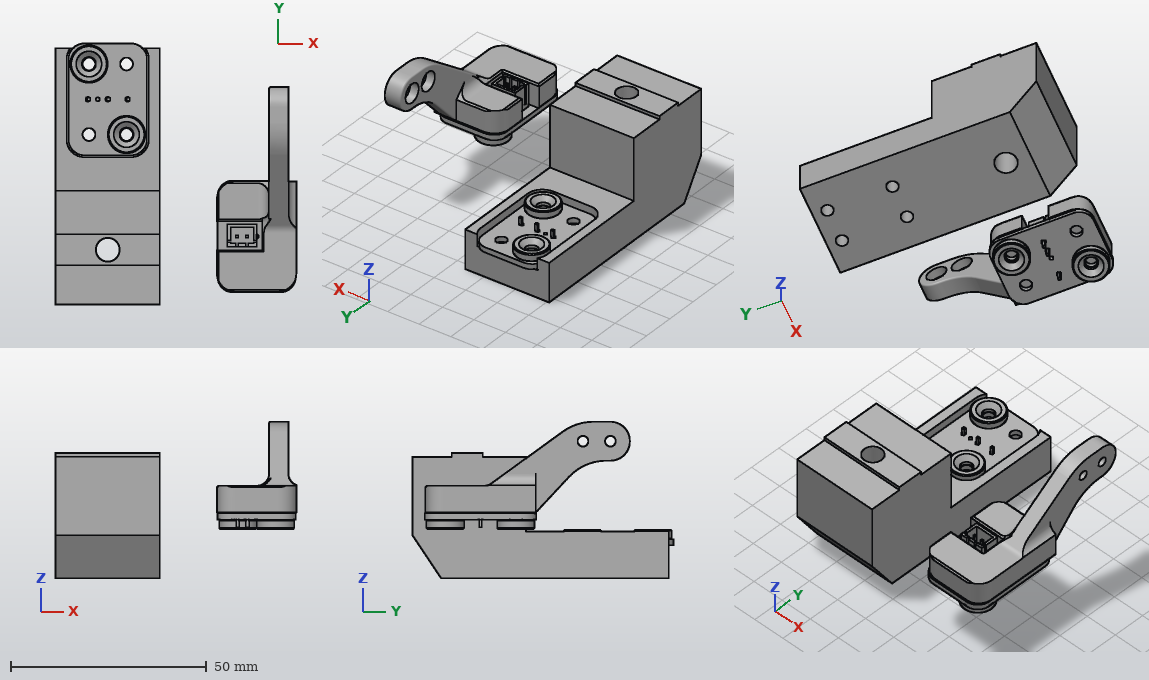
import cadquery as cq
import math

block_width = 26.7
block_length = 65.5
shelf_height = 12.0
head_height = 31.0
head_length = 29.0
rail_height = 1.0
rail_front = 10.0
rail_width = 8.0
rail_hole_diameter = 6.0
slope_length = 7.35
slope_height = 11.0

total_length = 66.7
board_width = 20.0
board_length = 28.55
board_thickness = 1.6
board_corner_radius = 4.0
screw_hole_diameter = 3.2
screw_pitch_x = 9.6
screw_pitch_y = 18.0
pin_pitch = 2.55
pin_steps = (-2, -1, 0, 2)
lower_empty_step = -1
upper_empty_step = 0
pin_width = 0.8
pin_depth = 0.7
pin_length = 2.0
pin_well_diameter = 1.2
pin_well_depth = 0.55
pin_offset = (pin_well_diameter - pin_width) / 2
pin_hole_diameter = 1.0

magnet_diameter = 9.6
magnet_height = 2.4
magnet_chamfer = 0.3
magnet_hole_diameter = 3.6
magnet_sink_diameter = 6.55

lower_board_center = (block_width / 2, total_length - board_length / 2)
lower_board_bottom = 8.4
upper_board_center = (51.4, 17.4)
upper_board_bottom = 15.0
pocket_clearance = 0.5

housing_width = 20.35
housing_length = 28.15
housing_height = 7.1
housing_corner_radius = 4.7
edge_chamfer = 0.5
bottom_chamfer = 0.3
housing_bottom = upper_board_bottom + board_thickness
housing_top = housing_bottom + housing_height
housing_left = upper_board_center[0] - housing_width / 2
housing_right = upper_board_center[0] + housing_width / 2
housing_rear = upper_board_center[1] + housing_length / 2

arm_left = 54.5
arm_thickness = 5.0
arm_right = arm_left + arm_thickness
arm_edge_fillet = 0.5
arm_top = 40.05
arm_end_radius = 5.0
arm_bottom = arm_top - 2 * arm_end_radius
arm_hole_y = 50.6
arm_hole_z = arm_top - arm_end_radius
arm_hole_spacing = 7.0
arm_hole_diameter = 2.7
arm_bore_diameter = 5.7
arm_bore_depth = 2.7
upper_bend_y = 46.25
upper_bend_radius = 13.35
ramp_angle = math.radians(36)
lower_bend_y = 49.5
lower_bend_radius = 13.0
underside_angle = math.radians(47)
foot_radius = 3.0

connector_width = 7.5
connector_depth = 5.75
connector_height = 7.0
connector_center = (47.65, 17.7)
connector_wall = 0.8
connector_floor = 1.35
side_slot_width = 0.55
contact_pitch = 2.55
contact_size = 0.64
contact_height = 6.35
contact_slot_width = 0.6
recess_right = 52.8
recess_front = 13.95
recess_rear = 21.3


def upper_bend_end():
    """Point (y, z) where the rounded top of the arm runs into the ramp."""
    return (
        upper_bend_y - upper_bend_radius * math.sin(ramp_angle),
        arm_top - upper_bend_radius * (1 - math.cos(ramp_angle)),
    )


def ramp_foot_y():
    """Y where the straight ramp reaches the top of the housing."""
    bend_y, bend_z = upper_bend_end()
    return bend_y - (bend_z - housing_top) / math.tan(ramp_angle)


def screw_points(center):
    """The four screw positions of a board: the two under magnets, then the two open ones."""
    x, y = center
    dx = screw_pitch_x / 2
    dy = screw_pitch_y / 2
    return [(x - dx, y + dy), (x + dx, y - dy)], [(x + dx, y + dy), (x - dx, y - dy)]


def make_block():
    """Stepped block with a rail hole, a board pocket and four screw holes."""
    side = (
        cq.Workplane("YZ")
        .moveTo(slope_length, 0)
        .lineTo(block_length, 0)
        .lineTo(block_length, shelf_height)
        .lineTo(head_length, shelf_height)
        .lineTo(head_length, head_height)
        .lineTo(rail_front + rail_width, head_height)
        .lineTo(rail_front + rail_width, head_height + rail_height)
        .lineTo(rail_front, head_height + rail_height)
        .lineTo(rail_front, head_height)
        .lineTo(0, head_height)
        .lineTo(0, slope_height)
        .close()
        .extrude(block_width)
    )
    rail_hole = (
        cq.Workplane("XY")
        .center(block_width / 2, rail_front + rail_width / 2)
        .circle(rail_hole_diameter / 2)
        .extrude(head_height + rail_height)
    )
    pocket = (
        cq.Workplane("XY", origin=(*lower_board_center, lower_board_bottom))
        .rect(board_width + 2 * pocket_clearance, board_length + 2 * pocket_clearance)
        .extrude(shelf_height)
        .edges("|Z")
        .fillet(board_corner_radius + pocket_clearance)
    )
    covered, uncovered = screw_points(lower_board_center)
    screw_holes = (
        cq.Workplane("XY")
        .pushPoints(covered + uncovered)
        .circle(screw_hole_diameter / 2)
        .extrude(shelf_height)
    )
    return side.cut(rail_hole).cut(pocket).cut(screw_holes)


def make_board(center, bottom, faces_up, empty_step):
    """Board with three pins on its contact face and one empty pin hole."""
    x, y = center
    covered, uncovered = screw_points(center)
    board = (
        cq.Workplane("XY", origin=(x, y, bottom))
        .rect(board_width, board_length)
        .extrude(board_thickness)
        .edges("|Z")
        .fillet(board_corner_radius)
    )
    holes = (
        cq.Workplane("XY", origin=(0, 0, bottom))
        .pushPoints(covered + uncovered)
        .circle(screw_hole_diameter / 2)
        .pushPoints([(x + empty_step * pin_pitch, y)])
        .circle(pin_hole_diameter / 2)
        .extrude(board_thickness)
    )
    board = board.cut(holes)
    contact_face = bottom + board_thickness if faces_up else bottom
    direction = 1 if faces_up else -1
    well_floor = contact_face - direction * pin_well_depth
    pin_reach = pin_well_depth + pin_length
    for step in pin_steps:
        if step != empty_step:
            foot = cq.Workplane("XY", origin=(x + step * pin_pitch, y, well_floor))
            well = foot.circle(pin_well_diameter / 2).extrude(direction * pin_well_depth)
            pin = foot.center(pin_offset, 0).rect(pin_width, pin_depth).extrude(direction * pin_reach)
            board = board.cut(well).union(pin)
    return board


def make_magnet(point, board_face, direction):
    """Ring magnet standing on a board face, countersunk on its free side."""
    bevel_radius = magnet_diameter / 2 - magnet_chamfer
    hole_radius = magnet_hole_diameter / 2
    sink_radius = magnet_sink_diameter / 2
    sink_depth = sink_radius - hole_radius
    ring = (
        cq.Workplane("XZ")
        .moveTo(hole_radius, 0)
        .lineTo(bevel_radius, 0)
        .lineTo(magnet_diameter / 2, direction * magnet_chamfer)
        .lineTo(magnet_diameter / 2, direction * (magnet_height - magnet_chamfer))
        .lineTo(bevel_radius, direction * magnet_height)
        .lineTo(sink_radius, direction * magnet_height)
        .lineTo(hole_radius, direction * (magnet_height - sink_depth))
        .close()
        .revolve(360, (0, 0, 0), (0, 1, 0))
    )
    return ring.translate((point[0], point[1], board_face))


def make_shell():
    """Base of the lever housing; its right rear corner stays square."""
    blank = (
        cq.Workplane("XY", origin=(*upper_board_center, housing_bottom))
        .rect(housing_width, housing_length)
        .extrude(housing_height)
    )
    shell = blank.edges("|Z and <X").fillet(housing_corner_radius)
    shell = shell.edges("|Z and >X and <Y").fillet(housing_corner_radius)
    shell = shell.faces("<Z").chamfer(bottom_chamfer)
    bevelled_blank = blank.faces(">Z").edges("not >X").chamfer(edge_chamfer)
    return shell.intersect(bevelled_blank)


def make_arm():
    """Bent arm with a rounded end and two counterbored holes."""
    lower_bend_end_y = lower_bend_y - lower_bend_radius * math.sin(underside_angle)
    lower_bend_end_z = arm_bottom - lower_bend_radius * (1 - math.cos(underside_angle))
    heel_z = housing_bottom + bottom_chamfer
    heel_y = lower_bend_end_y - (lower_bend_end_z - heel_z) / math.tan(underside_angle)
    arm = (
        cq.Workplane("YZ", origin=(arm_left, 0, 0))
        .moveTo(ramp_foot_y(), housing_top)
        .lineTo(*upper_bend_end())
        .tangentArcPoint((upper_bend_y, arm_top), relative=False)
        .lineTo(arm_hole_y, arm_top)
        .tangentArcPoint((arm_hole_y, arm_bottom), relative=False)
        .lineTo(lower_bend_y, arm_bottom)
        .tangentArcPoint((lower_bend_end_y, lower_bend_end_z), relative=False)
        .lineTo(heel_y, heel_z)
        .lineTo(ramp_foot_y(), heel_z)
        .close()
        .extrude(arm_thickness)
        .faces("<X")
        .fillet(arm_edge_fillet)
    )
    hole_points = [(arm_hole_y, arm_hole_z), (arm_hole_y - arm_hole_spacing, arm_hole_z)]
    holes = (
        cq.Workplane("YZ", origin=(arm_left, 0, 0))
        .pushPoints(hole_points)
        .circle(arm_hole_diameter / 2)
        .extrude(arm_thickness)
    )
    bores = (
        cq.Workplane("YZ", origin=(arm_left, 0, 0))
        .pushPoints(hole_points)
        .circle(arm_bore_diameter / 2)
        .extrude(arm_bore_depth)
    )
    return arm.cut(holes).cut(bores)


def make_root_outline(left, right, rear_bevel):
    """Side outline of the root: a round at the foot, the ramp, then a rear bevel carried upwards."""
    tangent = foot_radius * math.tan(ramp_angle / 2)
    bottom = housing_bottom + edge_chamfer
    peak_z = housing_top + 2 * foot_radius
    foot_y = ramp_foot_y()
    round_end = (foot_y + tangent * math.cos(ramp_angle), housing_top + tangent * math.sin(ramp_angle))
    outline = (
        cq.Workplane("YZ", origin=(left, 0, 0))
        .moveTo(foot_y - 2 * tangent, housing_top)
        .lineTo(foot_y - tangent, housing_top)
        .tangentArcPoint(round_end, relative=False)
        .lineTo(foot_y + (peak_z - housing_top) / math.tan(ramp_angle), peak_z)
        .lineTo(housing_rear, peak_z)
        .lineTo(housing_rear, bottom)
        .lineTo(foot_y - 2 * tangent, bottom)
        .close()
        .extrude(right - left)
    )
    if rear_bevel == 0:
        return outline
    bevel_z = housing_top - rear_bevel
    bevel = (
        cq.Workplane("YZ", origin=(left, 0, 0))
        .moveTo(housing_rear, bevel_z)
        .lineTo(housing_rear, peak_z)
        .lineTo(housing_rear - (peak_z - bevel_z), peak_z)
        .close()
        .extrude(right - left)
    )
    return outline.cut(bevel)


def make_arm_root():
    """Rounded foot that blends the arm into the top of the housing."""
    neck_top = housing_top + foot_radius
    section_left = arm_left - foot_radius
    section_bottom = housing_bottom + edge_chamfer
    section = (
        cq.Workplane("XZ", origin=(0, housing_rear, 0))
        .moveTo(section_left, section_bottom)
        .lineTo(section_left, housing_top)
        .radiusArc((arm_left, neck_top), -foot_radius)
        .lineTo(arm_right, neck_top)
        .radiusArc((arm_right + foot_radius, housing_top), -foot_radius)
        .lineTo(arm_right + foot_radius, section_bottom)
        .close()
        .extrude(housing_length)
    )
    arm_center = arm_left + arm_thickness / 2
    left_outline = make_root_outline(section_left, arm_center, edge_chamfer)
    right_outline = make_root_outline(arm_center, housing_right, 0)
    return section.intersect(left_outline.union(right_outline))


def recess_profile(height):
    """Plan outline of the connector recess at a given height; it reaches out past the left side."""
    length = recess_rear - recess_front
    left = housing_left - length
    center = ((left + recess_right) / 2, recess_front + length / 2, height)
    return cq.Workplane("XY", origin=center).rect(recess_right - left, length)


def make_recess():
    """Straight-walled recess down to the upper board."""
    return recess_profile(housing_bottom).extrude(housing_height)


def make_recess_rim():
    """Bevel round the recess, carried on upwards through the root of the arm."""
    return recess_profile(housing_top - edge_chamfer).extrude(edge_chamfer + foot_radius, taper=-45)


def make_housing():
    """Lever housing and arm in one piece, with the connector recess cut out."""
    base = make_shell().union(make_arm_root()).cut(make_recess_rim())
    return base.union(make_arm()).cut(make_recess())


def make_connector():
    """Two-way wire header standing on the upper board."""
    x, y = connector_center
    front = y - connector_depth / 2
    base = cq.Workplane("XY", origin=(x, y, housing_bottom))
    inside = cq.Workplane("XY", origin=(x, y, housing_bottom + connector_floor))
    connector = base.rect(connector_width, connector_depth).extrude(connector_height)
    cavity = inside.rect(
        connector_width - 2 * connector_wall, connector_depth - 2 * connector_wall
    ).extrude(connector_height)
    side_slots = (
        inside.center(0, front + connector_wall + side_slot_width - y)
        .rect(connector_width, side_slot_width)
        .extrude(connector_height)
    )
    connector = connector.cut(cavity).cut(side_slots)
    for side in (-1, 1):
        contact_x = side * contact_pitch / 2
        slot = (
            inside.center(contact_x, front + connector_wall / 2 - y)
            .rect(contact_slot_width, connector_wall)
            .extrude(connector_height)
        )
        contact = (
            base.center(contact_x, upper_board_center[1] - y)
            .rect(contact_size, contact_size)
            .extrude(contact_height)
        )
        connector = connector.cut(slot).union(contact)
    return connector


block = make_block()
lower_board = make_board(lower_board_center, lower_board_bottom, True, lower_empty_step)
upper_board = make_board(upper_board_center, upper_board_bottom, False, upper_empty_step)
lower_magnets = [
    make_magnet(point, lower_board_bottom + board_thickness, 1)
    for point in screw_points(lower_board_center)[0]
]
upper_magnets = [
    make_magnet(point, upper_board_bottom, -1)
    for point in screw_points(upper_board_center)[0]
]
housing = make_housing()
connector = make_connector()

result = cq.Compound.makeCompound(
    [
        block.val(),
        lower_board.val(),
        upper_board.val(),
        *[magnet.val() for magnet in lower_magnets],
        *[magnet.val() for magnet in upper_magnets],
        housing.val(),
        connector.val(),
    ]
)